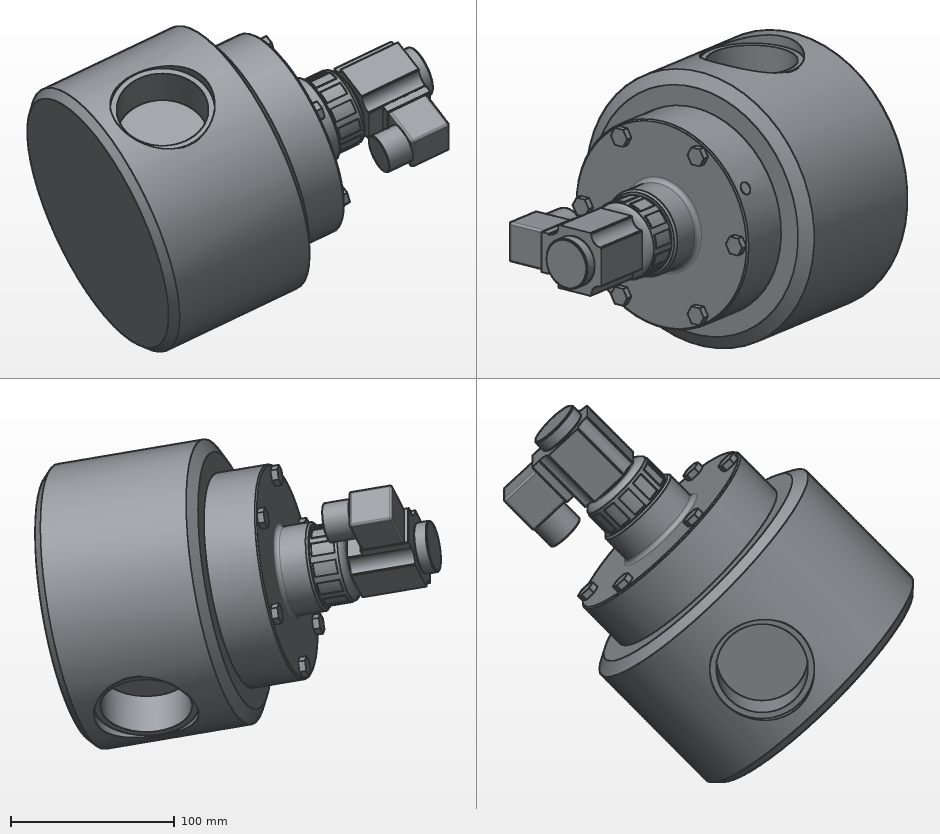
import cadquery as cq
import math


HOUSING_RADIUS = 88.52
HOUSING_LENGTH = 103.0
HOUSING_CHAMFER = 5.0
REAR_CHAMFER_ANGLE = 60.0

PORT_Y = 46.3
PORT_BORE_DIAMETER = 56.2
PORT_BORE_FLOOR_Z = 55.5
SPOTFACE_DIAMETER = 64.0
SPOTFACE_Z = 82.0

COVER_RADIUS = 66.8
COVER_LENGTH = 33.3
COVER_CHAMFER = 1.0
COVER_REAR_Y = HOUSING_LENGTH + COVER_LENGTH

BOSS_RADIUS = 27.7
BOSS_LENGTH = 21.2
BOSS_CHAMFER = 1.4
BOSS_FOOT_FILLET = 3.0
BOSS_REAR_Y = COVER_REAR_Y + BOSS_LENGTH

BOLT_COUNT = 6
BOLT_CIRCLE_RADIUS = 59.4
BOLT_ACROSS_FLATS = 11.0
BOLT_HEAD_HEIGHT = 4.3

SIDE_SPOT_DIAMETER = 8.0
SIDE_SPOT_DEPTH = 0.2
SIDE_SPOT_Y = 126.9
SIDE_SPOT_ANGLE = 150.0

NUT_RADIUS = 24.4
NUT_SHOULDER_Y = 175.4
NUT_REAR_Y = 178.9
NUT_REAR_RADIUS = 18.4
NUT_DOME_RADIUS = 8.0

GRIP_COUNT = 12
GRIP_HEIGHT = 0.6
GRIP_ANGLE = 20.0
GRIP_FRONT_Y = 158.8
GRIP_LENGTH = 14.6

NECK_RADIUS = 15.8
COIL_OFFSET_X = 0.75
COIL_HALF_WIDTH = 20.4
COIL_FRONT_Y = 180.9
COIL_REAR_Y = 221.7
COIL_FLAT_HALF_WIDTH = 12.1
COIL_GROOVE_CHAMFER = 0.6

CAP_RADIUS = 16.0
CAP_REAR_Y = 230.17
CAP_CHAMFER = 0.7

GASKET_END_X = 27.1
GASKET_FRONT_Y = 190.9
GASKET_HALF_HEIGHT = 13.0
GASKET_CHAMFER = 0.5

PLUG_END_X = 54.3
PLUG_FRONT_Y = 191.7
PLUG_REAR_Y = 218.9
PLUG_HALF_HEIGHT = 12.9
PLUG_FILLET = 1.5

GLAND_X = 43.3
GLAND_RADIUS = 12.3
GLAND_FRONT_Y = 174.8
GLAND_CHAMFER = 0.4


def cylinder_y(radius, front_y, rear_y, x=0.0, z=0.0):
    """Cylinder along Y between two Y positions."""
    axis_start = cq.Vector(x, front_y, z)
    return cq.Workplane(cq.Solid.makeCylinder(radius, rear_y - front_y, axis_start, cq.Vector(0, 1, 0)))


def block(x_min, x_max, y_min, y_max, half_height):
    """Box centred on Z = 0."""
    corner = cq.Vector(x_min, y_min, -half_height)
    return cq.Workplane(cq.Solid.makeBox(x_max - x_min, y_max - y_min, 2 * half_height, corner))


def make_housing():
    rear_chamfer_depth = HOUSING_CHAMFER * math.tan(math.radians(REAR_CHAMFER_ANGLE))
    body = (
        cq.Workplane("XY")
        .moveTo(0, 0)
        .lineTo(HOUSING_RADIUS - HOUSING_CHAMFER, 0)
        .lineTo(HOUSING_RADIUS, HOUSING_CHAMFER)
        .lineTo(HOUSING_RADIUS, HOUSING_LENGTH - HOUSING_CHAMFER)
        .lineTo(HOUSING_RADIUS - rear_chamfer_depth, HOUSING_LENGTH)
        .lineTo(0, HOUSING_LENGTH)
        .close()
        .revolve(360, (0, 0, 0), (0, 1, 0))
    )
    for side in (1, -1):
        outward = cq.Vector(0, 0, side)
        floor_centre = cq.Vector(0, PORT_Y, side * PORT_BORE_FLOOR_Z)
        spotface_centre = cq.Vector(0, PORT_Y, side * SPOTFACE_Z)
        bore = cq.Solid.makeCylinder(PORT_BORE_DIAMETER / 2, HOUSING_RADIUS, floor_centre, outward)
        spotface = cq.Solid.makeCylinder(SPOTFACE_DIAMETER / 2, HOUSING_RADIUS, spotface_centre, outward)
        body = body.cut(cq.Workplane(bore)).cut(cq.Workplane(spotface))
    return body


def make_bolt_head(angle):
    """Hexagonal head on the rear face of the cover, with corners pointing along X."""
    x = BOLT_CIRCLE_RADIUS * math.cos(math.radians(angle))
    z = BOLT_CIRCLE_RADIUS * math.sin(math.radians(angle))
    across_corners = BOLT_ACROSS_FLATS / math.cos(math.radians(30))
    return (
        cq.Workplane("XZ", origin=(x, COVER_REAR_Y, z))
        .polygon(6, across_corners)
        .extrude(-BOLT_HEAD_HEIGHT)
    )


def make_cover():
    flange = cylinder_y(COVER_RADIUS, HOUSING_LENGTH, COVER_REAR_Y).faces(">Y").chamfer(COVER_CHAMFER)

    foot_radius = BOSS_RADIUS + BOSS_FOOT_FILLET
    foot_top_y = COVER_REAR_Y + BOSS_FOOT_FILLET
    fillet_leg = BOSS_FOOT_FILLET * math.sin(math.radians(45))
    boss = (
        cq.Workplane("XY")
        .moveTo(0, COVER_REAR_Y)
        .lineTo(foot_radius, COVER_REAR_Y)
        .threePointArc((foot_radius - fillet_leg, foot_top_y - fillet_leg), (BOSS_RADIUS, foot_top_y))
        .lineTo(BOSS_RADIUS, BOSS_REAR_Y - BOSS_CHAMFER)
        .lineTo(BOSS_RADIUS - BOSS_CHAMFER, BOSS_REAR_Y)
        .lineTo(0, BOSS_REAR_Y)
        .close()
        .revolve(360, (0, 0, 0), (0, 1, 0))
    )
    cover = flange.union(boss)

    for i in range(BOLT_COUNT):
        cover = cover.union(make_bolt_head(i * 360 / BOLT_COUNT))

    spot_angle = math.radians(SIDE_SPOT_ANGLE)
    outward = cq.Vector(math.cos(spot_angle), 0, math.sin(spot_angle))
    spot_centre = outward * (COVER_RADIUS - SIDE_SPOT_DEPTH) + cq.Vector(0, SIDE_SPOT_Y, 0)
    spot = cq.Solid.makeCylinder(SIDE_SPOT_DIAMETER / 2, SIDE_SPOT_DIAMETER, spot_centre, outward)
    return cover.cut(cq.Workplane(spot))


def make_ring_nut():
    """Domed nut with raised grip pads around its side."""
    nut = (
        cq.Workplane("XY")
        .moveTo(0, BOSS_REAR_Y)
        .lineTo(NUT_RADIUS, BOSS_REAR_Y)
        .lineTo(NUT_RADIUS, NUT_SHOULDER_Y)
        .radiusArc((NUT_REAR_RADIUS, NUT_REAR_Y), -NUT_DOME_RADIUS)
        .lineTo(0, NUT_REAR_Y)
        .close()
        .revolve(360, (0, 0, 0), (0, 1, 0))
    )
    for i in range(GRIP_COUNT):
        pad = (
            cq.Workplane("XY")
            .moveTo(NUT_RADIUS - GRIP_HEIGHT, GRIP_FRONT_Y)
            .rect(2 * GRIP_HEIGHT, GRIP_LENGTH, centered=False)
            .revolve(GRIP_ANGLE, (0, 0, 0), (0, 1, 0))
            .rotate((0, 0, 0), (0, 1, 0), i * 360 / GRIP_COUNT)
        )
        nut = nut.union(pad)
    return nut


def quarter_turned(x, z, quarter_turns):
    """Point turned about the origin by a number of quarter turns."""
    angle = math.radians(90 * quarter_turns)
    cosine = math.cos(angle)
    sine = math.sin(angle)
    return (x * cosine - z * sine, x * sine + z * cosine)


def make_coil():
    """Square coil with a chamfered concave groove along each long edge, on a round neck, with an end cap."""
    groove_start = COIL_HALF_WIDTH - COIL_GROOVE_CHAMFER
    groove_end = COIL_FLAT_HALF_WIDTH + COIL_GROOVE_CHAMFER
    groove_radius = groove_start - groove_end
    groove_middle = groove_start - groove_radius * math.sin(math.radians(45))

    outline = cq.Workplane("XZ", origin=(COIL_OFFSET_X, COIL_FRONT_Y, 0))
    outline = outline.moveTo(COIL_HALF_WIDTH, -COIL_FLAT_HALF_WIDTH)
    for i in range(4):
        outline = (
            outline
            .lineTo(*quarter_turned(COIL_HALF_WIDTH, COIL_FLAT_HALF_WIDTH, i))
            .lineTo(*quarter_turned(groove_start, groove_end, i))
            .threePointArc(
                quarter_turned(groove_middle, groove_middle, i),
                quarter_turned(groove_end, groove_start, i),
            )
            .lineTo(*quarter_turned(COIL_FLAT_HALF_WIDTH, COIL_HALF_WIDTH, i))
        )
    coil = outline.close().extrude(COIL_FRONT_Y - COIL_REAR_Y)

    neck = cylinder_y(NECK_RADIUS, NUT_REAR_Y, COIL_FRONT_Y)
    cap = cylinder_y(CAP_RADIUS, COIL_REAR_Y, CAP_REAR_Y, COIL_OFFSET_X).edges().chamfer(CAP_CHAMFER)
    return coil.union(neck).union(cap)


def make_connector():
    """Plug on the +X side of the coil, with its gasket and cable gland."""
    coil_side_x = COIL_OFFSET_X + COIL_HALF_WIDTH
    gasket = block(coil_side_x, GASKET_END_X, GASKET_FRONT_Y, COIL_REAR_Y, GASKET_HALF_HEIGHT)
    gasket = gasket.faces(">X").chamfer(GASKET_CHAMFER)
    plug = block(GASKET_END_X, PLUG_END_X, PLUG_FRONT_Y, PLUG_REAR_Y, PLUG_HALF_HEIGHT)
    plug = plug.edges("not <X").fillet(PLUG_FILLET)
    gland = cylinder_y(GLAND_RADIUS, GLAND_FRONT_Y, PLUG_FRONT_Y, GLAND_X)
    gland = gland.faces("<Y").chamfer(GLAND_CHAMFER)
    return gasket.union(plug).union(gland)


housing = make_housing()
cover = make_cover()
solenoid = make_ring_nut().union(make_coil()).union(make_connector())

result = cq.Compound.makeCompound([housing.val(), cover.val(), solenoid.val()])